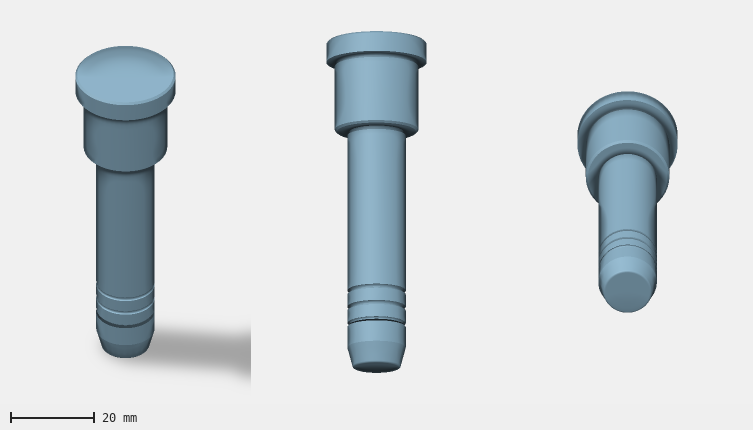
import cadquery as cq
import math

total_length = 80.0
head_thickness = 5.0
shoulder_depth = 22.0
neck_length = 1.0
taper_length = 5.0

head_diameter = 24.0
body_diameter = 20.0
pin_diameter = 14.0
neck_diameter = 13.0

edge_chamfer = 0.5
taper_angle = 15.0
tip_fillet = 0.5

groove_radius = 0.5
groove_count = 3
groove_pitch = 4.0
first_groove_height = 10.5

head_underside = total_length - head_thickness
body_underside = total_length - shoulder_depth
pin_top = body_underside - neck_length
tip_diameter = pin_diameter - 2 * taper_length * math.tan(math.radians(taper_angle))


def cylinder(diameter, bottom, top):
    """Cylinder on the Z axis between two heights."""
    return cq.Workplane("XY").workplane(offset=bottom).circle(diameter / 2).extrude(top - bottom)


def groove(diameter, height):
    """Ring of circular section, centred on a surface of the given diameter."""
    return (
        cq.Workplane("XZ")
        .center(-diameter / 2, height)
        .circle(groove_radius)
        .revolve(360, (diameter / 2, 0), (diameter / 2, 1))
    )


def make_head():
    return cylinder(head_diameter, head_underside, total_length).faces(">Z").chamfer(edge_chamfer)


def make_body():
    """Body with a relief groove directly under the head."""
    body = cylinder(body_diameter, body_underside, head_underside).faces("<Z").chamfer(edge_chamfer)
    return body.cut(groove(body_diameter, head_underside - groove_radius))


def make_pin():
    """Grooved pin with a tapered, rounded tip."""
    tip = (
        cq.Workplane("XY")
        .circle(tip_diameter / 2)
        .workplane(offset=taper_length)
        .circle(pin_diameter / 2)
        .loft()
        .faces("<Z")
        .fillet(tip_fillet)
    )
    pin = cylinder(pin_diameter, taper_length, pin_top).union(tip)
    for index in range(groove_count):
        pin = pin.cut(groove(pin_diameter, first_groove_height + index * groove_pitch))
    return pin


neck = cylinder(neck_diameter, pin_top, body_underside)
result = make_head().union(make_body()).union(neck).union(make_pin())